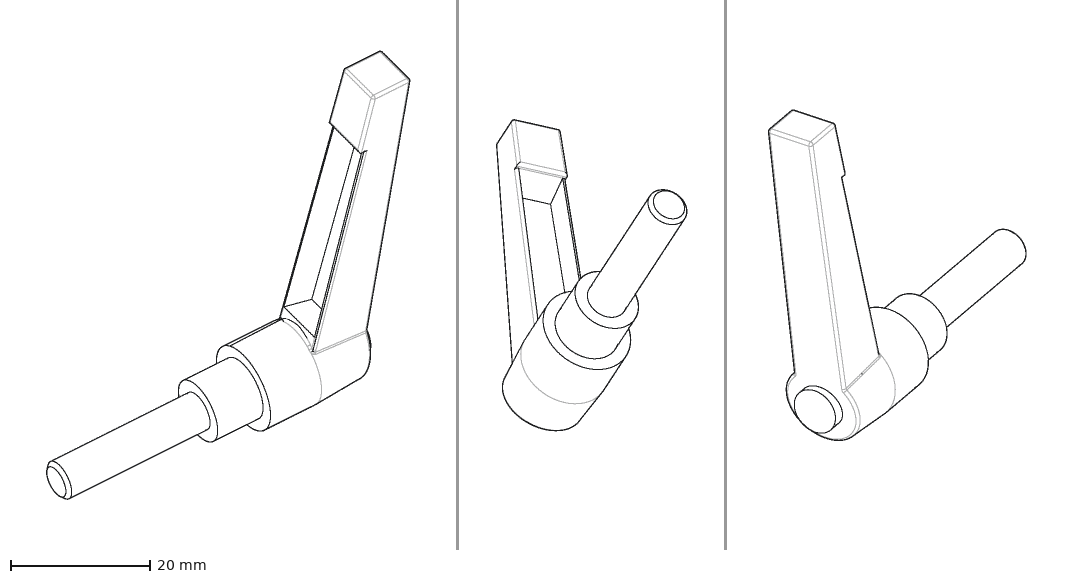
import cadquery as cq
import math

tolerance = 1e-3

stud_diameter = 6.0
stud_length = 25.0
stud_chamfer = 0.6

boss_diameter = 9.8
boss_length = 8.0

hub_diameter = 13.5
hub_length = 9.0
hub_taper = math.radians(3.5)
shoulder_y = boss_length + hub_length

cap_diameter = 7.0
cap_end_y = 28.0

overall_height = 57.04
top_z = overall_height - hub_diameter / 2
back_slope = math.tan(math.radians(10))
back_y_at_axis = 26.14
front_angle = math.radians(15)
front_slope = math.tan(front_angle)
rim_front_y_at_axis = 15.75
tip_step = 0.98
tip_bottom_z = 40.4
lever_top_width = 7.5
lever_axis_width = 8.8
edge_radius = 0.45
rim_thickness = 0.5

seam_radius = 0.4
blend_height = 0.4
blend_hollow = 0.06

pocket_bottom_z = 7.8
pocket_depth = 5.1
pocket_top_width = lever_top_width - 2 * rim_thickness
pocket_axis_width = lever_axis_width - 2 * rim_thickness


def back_y(z):
    return back_y_at_axis + back_slope * z


def rim_y(z):
    return rim_front_y_at_axis + front_slope * z


def tip_y(z):
    return rim_y(z) - tip_step


def taper_block(width_at_axis, width_at_top):
    """Wedge spanning the lever along Y that narrows from the axis up to the lever top."""
    outline = [
        (-width_at_axis / 2, 0),
        (width_at_axis / 2, 0),
        (width_at_top / 2, top_z),
        (-width_at_top / 2, top_z),
    ]
    return cq.Workplane("XZ").polyline(outline).close().extrude(-2 * cap_end_y)


def side_prism(outline):
    """Prism across the part, wider than the hub, from a (Y, Z) outline."""
    return cq.Workplane("YZ").polyline(outline).close().extrude(hub_diameter, both=True)


def lies_on_back(point):
    return abs(point.y - back_y(point.z)) < tolerance


def is_exposed_edge(edge):
    """True for lever edges off the back plane, the buried base and the inner step corner."""
    middle = edge.positionAt(0.5)
    on_base = middle.z < tolerance
    on_step_corner = abs(middle.z - tip_bottom_z) < tolerance and middle.y > tip_y(tip_bottom_z) + tolerance
    return not (lies_on_back(middle) or on_base or on_step_corner)


def is_side_seam(edge):
    """True for the two seams where the lever sides run into the hub taper."""
    middle = edge.positionAt(0.5)
    beside_lever = abs(middle.x) > lever_top_width / 2
    within_taper = shoulder_y < middle.y < back_y(0)
    within_hub = 0 < middle.z < hub_diameter / 2
    return edge.geomType() == "HYPERBOLA" and beside_lever and within_taper and within_hub


def is_back_edge(edge):
    """True for edges that lie on the back plane over their whole length."""
    return all(lies_on_back(edge.positionAt(part)) for part in (0, 0.5, 1))


def make_lever():
    profile = side_prism([
        (back_y(0), 0),
        (back_y(top_z), top_z),
        (tip_y(top_z), top_z),
        (tip_y(tip_bottom_z), tip_bottom_z),
        (rim_y(tip_bottom_z), tip_bottom_z),
        (rim_y(0), 0),
    ])
    lever = profile.intersect(taper_block(lever_axis_width, lever_top_width))
    exposed_edges = [edge for edge in lever.edges().vals() if is_exposed_edge(edge)]
    return lever.newObject(exposed_edges).fillet(edge_radius)


def make_hub():
    """Cylinder and shallow taper, cut off at the back by the lever's back plane."""
    taper_length = cap_end_y - shoulder_y
    small_radius = hub_diameter / 2 - taper_length * math.tan(hub_taper)
    hub = cq.Workplane("XY").polyline([
        (0, boss_length),
        (hub_diameter / 2, boss_length),
        (hub_diameter / 2, shoulder_y),
        (small_radius, cap_end_y),
        (0, cap_end_y),
    ]).close().revolve(360, (0, 0, 0), (0, 1, 0))
    behind = side_prism([
        (back_y(-hub_diameter), -hub_diameter),
        (back_y(hub_diameter), hub_diameter),
        (2 * cap_end_y, hub_diameter),
        (2 * cap_end_y, -hub_diameter),
    ])
    return hub.cut(behind)


def make_grip():
    """Lever and hub as one body, with blended side seams and rounded back edges."""
    grip = make_lever().union(make_hub())
    side_seams = [edge for edge in grip.edges().vals() if is_side_seam(edge)]
    grip = grip.newObject(side_seams).fillet(seam_radius)
    back_edges = [edge for edge in grip.edges().vals() if is_back_edge(edge)]
    return grip.newObject(back_edges).fillet(edge_radius)


def make_pocket():
    """Recess in the rim face, with its floor parallel to that face."""
    inward_y = pocket_depth * math.cos(front_angle)
    inward_z = -pocket_depth * math.sin(front_angle)
    corners = [(rim_y(z), z) for z in (pocket_bottom_z, tip_bottom_z)]
    floor = [(y + inward_y, z + inward_z) for y, z in reversed(corners)]
    return side_prism(corners + floor).intersect(taper_block(pocket_axis_width, pocket_top_width))


def make_root_blend():
    """Concave collar, as wide as the lever, that blends the rim face into the hub shoulder."""
    hub_radius = hub_diameter / 2
    blend_top = hub_radius + blend_height
    blend_end_y = rim_y(blend_top)
    hollow_y = (shoulder_y + blend_end_y) / 2 + blend_hollow
    hollow_z = hub_radius + blend_height / 2 - blend_hollow
    ring = (
        cq.Workplane("XY")
        .moveTo(0, shoulder_y)
        .lineTo(hub_radius, shoulder_y)
        .threePointArc((hollow_z, hollow_y), (blend_top, blend_end_y))
        .lineTo(0, blend_end_y)
        .close()
        .revolve(360, (0, 0, 0), (0, 1, 0))
    )
    return ring.intersect(taper_block(lever_axis_width, lever_top_width))


def make_cylinder(diameter, start_y, end_y):
    return cq.Workplane("XZ", origin=(0, start_y, 0)).circle(diameter / 2).extrude(start_y - end_y)


stud = make_cylinder(stud_diameter, 0, -stud_length).faces("<Y").chamfer(stud_chamfer)
boss = make_cylinder(boss_diameter, 0, boss_length)
cap = make_cylinder(cap_diameter, boss_length, cap_end_y)
grip = make_grip().cut(make_pocket()).union(make_root_blend())
result = grip.union(boss).union(stud).union(cap)